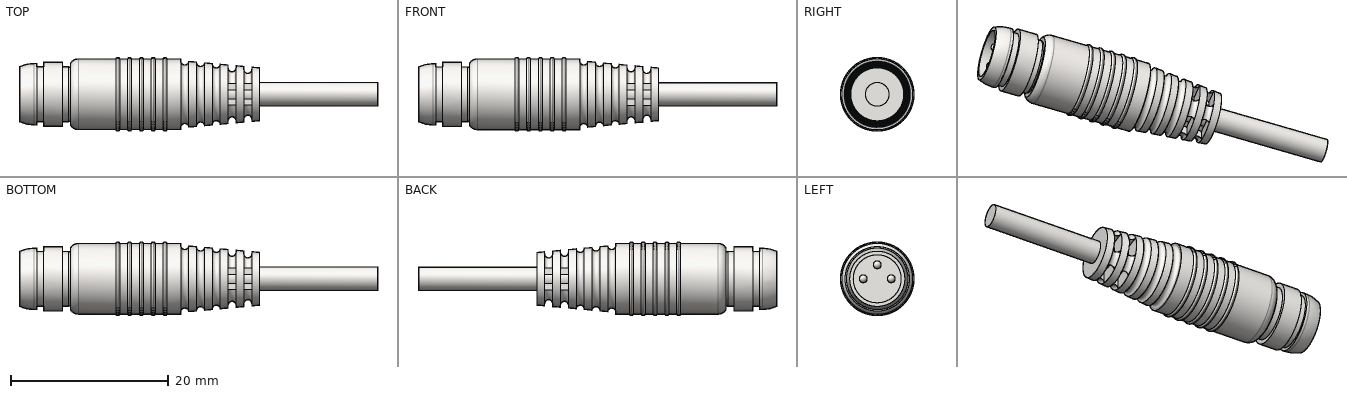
import cadquery as cq
import math

TOTAL_LENGTH = 45.5

NOSE_TIP_RADIUS = 3.5
NOSE_RADIUS = 3.9
NOSE_CURVE_LENGTH = 1.8
NOSE_LENGTH = 2.2
NECK_RADIUS = 3.5
COLLAR_RADIUS = 4.1
COLLAR_START = 3.05
COLLAR_END = 5.45
NECK_TAPER_START = 6.25
NECK_END_RADIUS = 3.4

SOCKET_RADIUS = 3.05
SOCKET_DEPTH = 4.5
PIN_RADIUS = 0.5
PIN_TIP_X = 0.6
PIN_OFFSET = 1.77
PIN_ROOT_LENGTH = 0.45

BODY_RADIUS = 4.5
BODY_START = 6.45
BODY_END = 20.48
SHOULDER_RADIUS = 1.2
SHOULDER_END = 7.45
RING_COUNT = 5
RING_FIRST_X = 12.45
RING_PITCH = 1.5
RING_WIRE_RADIUS = 0.27
RING_OUTER_RADIUS = 4.7

RIB_COUNT = 5
RIB_WIDTH = 1.0
RELIEF_START_RADIUS = 4.28
RELIEF_END_RADIUS = 3.35
RELIEF_LENGTH = 2 * RIB_COUNT * RIB_WIDTH
RELIEF_END = BODY_END + RELIEF_LENGTH
GROOVE_RADIUS = RIB_WIDTH / 2

WINDOWED_GROOVES = (3, 4)
CORE_WIDTH = 2.78

CABLE_RADIUS = 1.5


def relief_radius(x):
    """Outer radius of the strain relief taper at position x."""
    share = (x - BODY_END) / RELIEF_LENGTH
    return RELIEF_START_RADIUS + share * (RELIEF_END_RADIUS - RELIEF_START_RADIUS)


def groove_start(index):
    return BODY_END + 2 * index * RIB_WIDTH


def make_housing():
    """Revolve the half section of nose, collar, body and strain relief."""
    drop = NOSE_RADIUS - NOSE_TIP_RADIUS
    nose_arc_radius = (NOSE_CURVE_LENGTH**2 + drop**2) / (2 * drop)
    nose_mid_x = NOSE_CURVE_LENGTH / 2
    nose_mid_radius = NOSE_RADIUS - nose_arc_radius + math.sqrt(nose_arc_radius**2 - nose_mid_x**2)

    arc_center_radius = BODY_RADIUS - SHOULDER_RADIUS
    start_angle = math.acos((SHOULDER_END - BODY_START) / SHOULDER_RADIUS)
    mid_angle = (start_angle + math.pi / 2) / 2

    def shoulder_point(angle):
        return (
            SHOULDER_END - SHOULDER_RADIUS * math.cos(angle),
            arc_center_radius + SHOULDER_RADIUS * math.sin(angle),
        )

    section = (
        cq.Workplane("XY")
        .lineTo(0, NOSE_TIP_RADIUS)
        .threePointArc((nose_mid_x, nose_mid_radius), (NOSE_CURVE_LENGTH, NOSE_RADIUS))
        .lineTo(NOSE_LENGTH, NOSE_RADIUS)
        .lineTo(NOSE_LENGTH, NECK_RADIUS)
        .lineTo(COLLAR_START, NECK_RADIUS)
        .lineTo(COLLAR_START, COLLAR_RADIUS)
        .lineTo(COLLAR_END, COLLAR_RADIUS)
        .lineTo(COLLAR_END, NECK_RADIUS)
        .lineTo(NECK_TAPER_START, NECK_RADIUS)
        .lineTo(BODY_START, NECK_END_RADIUS)
        .lineTo(*shoulder_point(start_angle))
        .threePointArc(shoulder_point(mid_angle), (SHOULDER_END, BODY_RADIUS))
        .lineTo(BODY_END, BODY_RADIUS)
        .lineTo(BODY_END, relief_radius(BODY_END))
    )
    for index in range(RIB_COUNT):
        start = groove_start(index)
        middle = start + GROOVE_RADIUS
        rib_start = start + RIB_WIDTH
        rib_end = rib_start + RIB_WIDTH
        groove_floor = (middle, relief_radius(middle) - GROOVE_RADIUS)
        section = section.threePointArc(groove_floor, (rib_start, relief_radius(rib_start)))
        section = section.lineTo(rib_end, relief_radius(rib_end))
    section = section.lineTo(RELIEF_END, 0).close()
    return section.revolve(360, (0, 0, 0), (1, 0, 0))


def make_ring(x):
    """Round-topped grip ring around the body."""
    wire_path_radius = RING_OUTER_RADIUS - RING_WIRE_RADIUS
    ring = cq.Solid.makeTorus(wire_path_radius, RING_WIRE_RADIUS, cq.Vector(x, 0, 0), cq.Vector(1, 0, 0))
    return cq.Workplane("XY").add(ring)


def make_windows(index):
    """Four openings across one groove, each as wide as the square core."""
    reach = relief_radius(groove_start(index))
    depth = reach - CORE_WIDTH / 2
    middle = groove_start(index) + GROOVE_RADIUS
    window = cq.Workplane("XY").box(RIB_WIDTH, CORE_WIDTH, depth)
    window = window.translate((middle, 0, (CORE_WIDTH + depth) / 2))
    windows = cq.Workplane("XY")
    for side in range(4):
        windows = windows.add(window.rotate((0, 0, 0), (1, 0, 0), 90 * side))
    return windows.combine()


def make_cylinder(start, end, radius):
    return cq.Workplane("YZ").workplane(offset=start).circle(radius).extrude(end - start)


def make_pin(y, z):
    """Contact pin with a domed tip, rooted in the socket floor."""
    dome_center_x = PIN_TIP_X + PIN_RADIUS
    shaft = make_cylinder(dome_center_x, SOCKET_DEPTH + PIN_ROOT_LENGTH, PIN_RADIUS)
    dome = cq.Workplane("XY").sphere(PIN_RADIUS).translate((dome_center_x, 0, 0))
    return shaft.union(dome).translate((0, y, z))


result = make_housing()
for number in range(RING_COUNT):
    result = result.union(make_ring(RING_FIRST_X + number * RING_PITCH))

for groove in WINDOWED_GROOVES:
    result = result.cut(make_windows(groove))
result = result.union(make_cylinder(BODY_END, TOTAL_LENGTH, CABLE_RADIUS))

result = result.cut(make_cylinder(0, SOCKET_DEPTH, SOCKET_RADIUS))
for pin_y, pin_z in ((PIN_OFFSET, 0), (-PIN_OFFSET, 0), (0, PIN_OFFSET)):
    result = result.union(make_pin(pin_y, pin_z))